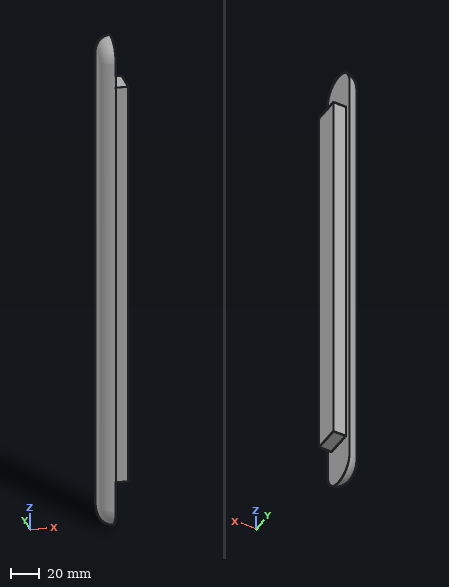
import cadquery as cq

length = 370.0
bar_width = 30.0
bar_thickness = 10.0
edge_radius = 10.0
rib_length = 300.0
rib_width = 20.0
rib_depth = 10.0

end_radius = bar_width / 2
crown_half_width = end_radius - edge_radius
half_straight = length / 2 - end_radius


def bar_half_profile():
    """Half cross-section in XY: flat crown at X = 0, quarter-round edge, flat back."""
    arc_offset = edge_radius * 0.5 ** 0.5
    return (
        cq.Workplane("XY")
        .moveTo(0, 0)
        .lineTo(0, crown_half_width)
        .threePointArc(
            (edge_radius - arc_offset, crown_half_width + arc_offset),
            (edge_radius, end_radius),
        )
        .lineTo(bar_thickness, 0)
        .close()
    )


def rounded_bar():
    """Straight bar with a revolved cap at each end."""
    half_bar = bar_half_profile().extrude(half_straight, both=True)
    bar = half_bar.union(half_bar.mirror("XZ"))
    cap = bar_half_profile().revolve(360, (0, 0, 0), (1, 0, 0))
    for end_z in (-half_straight, half_straight):
        bar = bar.union(cap.translate((0, 0, end_z)))
    return bar


def back_rib():
    """Rectangular rib centred on the flat back of the bar."""
    return (
        cq.Workplane("XY")
        .box(rib_depth, rib_width, rib_length)
        .translate((bar_thickness + rib_depth / 2, 0, 0))
    )


result = rounded_bar().union(back_rib())